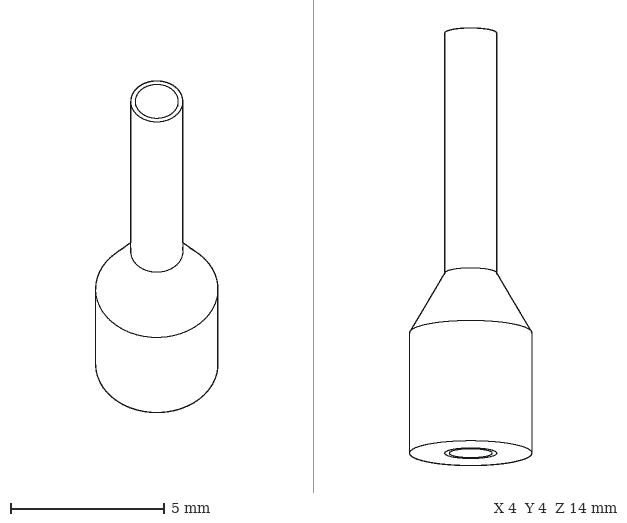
import cadquery as cq
import math

total_length = 14.0

tube_outer_diameter = 1.7
tube_wall = 0.15
tube_bore_diameter = tube_outer_diameter - 2 * tube_wall

collar_diameter = 4.0
collar_length = 6.0
taper_half_angle = 30.0


def make_tube():
    """Straight thin-walled tube, open at both ends."""
    return (
        cq.Workplane("XY")
        .circle(tube_outer_diameter / 2)
        .circle(tube_bore_diameter / 2)
        .extrude(total_length)
    )


def make_collar():
    """Cylinder that tapers down to the tube, bored to fit the tube."""
    inner_radius = tube_outer_diameter / 2
    outer_radius = collar_diameter / 2
    taper_length = (outer_radius - inner_radius) / math.tan(math.radians(taper_half_angle))
    half_section = (
        cq.Workplane("XZ")
        .moveTo(inner_radius, 0)
        .lineTo(outer_radius, 0)
        .lineTo(outer_radius, collar_length - taper_length)
        .lineTo(inner_radius, collar_length)
        .close()
    )
    return half_section.revolve(360, (0, 0, 0), (0, 1, 0))


tube = make_tube()
collar = make_collar()

result = cq.Compound.makeCompound([tube.val(), collar.val()])